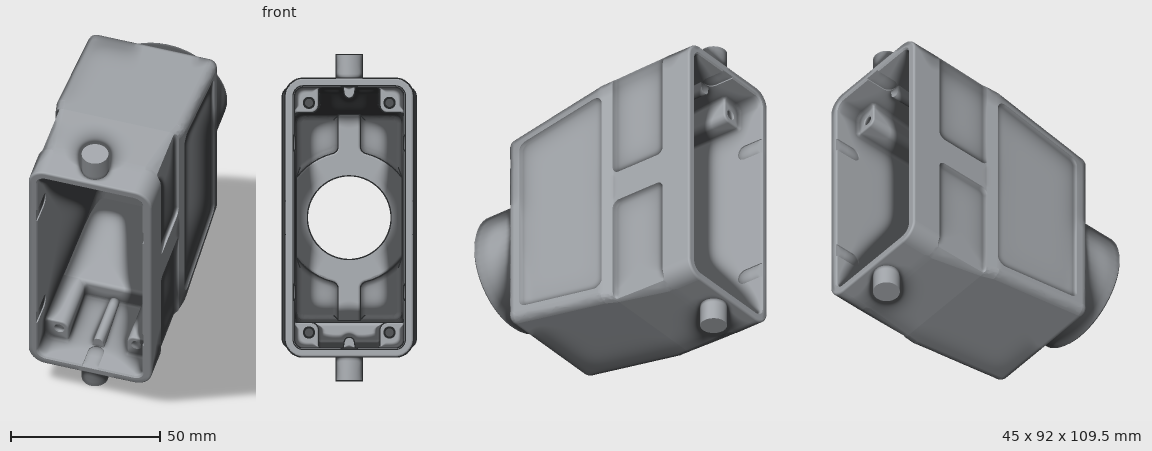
import cadquery as cq
import math


MOUTH_WIDTH = 43.0
BODY_WIDTH = 45.0
MOUTH_HEIGHT = 93.6
WAIST_HEIGHT = 89.2
BACK_HEIGHT = 72.4
BAND_END = 11.2
WAIST = 32.0
SHOULDER = 36.9
BACK = 76.5
OVERALL_LENGTH = 92.0
MOUTH_CORNER = 6.0
BODY_CORNER = 3.0
BEND_RADIUS = 30.0
SHOULDER_RADIUS = 10.0
BACK_FILLET = 2.8
MOUTH_FILLET = 0.75

NECK_DIAMETER = 42.0
NECK_CHAMFER = 0.7
CABLE_HOLE_DIAMETER = 28.0
PEG_DIAMETER = 9.0
PEG_Y = 6.3
PEG_SPAN = 109.5

GRIP_FLOOR_X = 20.0
GRIP_START = 11.3
GRIP_END = 32.4
GRIP_BRIDGE = 11.2
GRIP_CORNER = 2.5
PANEL_DEPTH = 1.0
PANEL_FRONT = 36.4
PANEL_BACK = 71.2
PANEL_FRONT_HEIGHT = 77.6
PANEL_BACK_HEIGHT = 65.0
PANEL_CORNER = 3.0
RECESS_FLOOR_FILLET = 0.95

CAVITY_WIDTH = 36.7
CAVITY_FLOOR_WIDTH = 35.4
CAVITY_MOUTH_HEIGHT = 87.5
CAVITY_WAIST_HEIGHT = 83.2
CAVITY_FLOOR_HEIGHT = 68.0
CAVITY_CORNER = 3.0
CAVITY_FLOOR_CORNER = 2.5
CAVITY_FLOOR = 74.0
CAVITY_BEND_RADIUS = 40.0
CAVITY_CHAMFER = 0.5
PAD_THICKNESS = 3.0
PAD_RADIUS = 22.2
PAD_RIB_WIDTH = 7.4
PAD_RIB_CORNER = 2.5
PAD_EDGE_FILLET = 0.8
POCKET_FILLET = 1.8

BOSS_FRONT = 9.5
BOSS_INNER_X = 10.3
BOSS_INNER_Z = 35.2
BOSS_CORNER = 2.5
BOSS_EDGE_FILLET = 0.6
SCREW_X = 13.5
SCREW_Z = 38.5
SCREW_DIAMETER = 3.1
SCREW_CHAMFER = 0.3
SCREW_DEPTH = 12.0
KEY_FRONT = 10.0
KEY_END = 50.0
KEY_WIDTH = 4.6
KEY_TIP_RADIUS = 1.7
KEY_TIP_Z = 40.1
SHELF_FRONT = 29.5
SHELF_TOP_Z = 35.1
SHELF_EDGE_FILLET = 1.4
FOOT_FILLET = 1.0
SLOT_WIDTH = 5.4
SLOT_LENGTH = 10.0
SLOT_DEPTH = 0.4
SLOT_SIDE_Z = 25.0

WALL_OVERLAP = 1.2
OVERLAP = 2.0
SIDES = (-1, 1)

SHOULDER_FRACTION = (SHOULDER - WAIST) / (BACK - WAIST)
SHOULDER_HEIGHT = WAIST_HEIGHT + (BACK_HEIGHT - WAIST_HEIGHT) * SHOULDER_FRACTION

SIDE_PLANE = cq.Plane((0, 0, 0), (0, 1, 0), (1, 0, 0))
PLAN_PLANE = cq.Plane((0, 0, 0), (0, 1, 0), (0, 0, 1))


def mirrored(solid, side_x, side_z):
    """Solid modelled at +X, +Z moved to the given sides."""
    if side_x < 0:
        solid = solid.mirror("YZ")
    if side_z < 0:
        solid = solid.mirror("XY")
    return solid


def ruled_piece(front, back):
    """Straight-ruled solid between two (y, width, height, corner radius) rounded rectangles."""
    front_y = front[0]
    sketches = []
    for y, width, height, corner in (front, back):
        sketch = cq.Sketch().rect(width, height).vertices().fillet(corner)
        sketches.append(sketch.moved(cq.Location(cq.Vector(0, 0, front_y - y))))
    return cq.Workplane("XZ", origin=(0, front_y, 0)).placeSketch(*sketches).loft(ruled=True)


def ruled_body(sections):
    """Solid through a list of (y, width, height, corner radius) sections."""
    body = ruled_piece(sections[0], sections[1])
    for front, back in zip(sections[1:], sections[2:]):
        body = body.union(ruled_piece(front, back))
    return body


def blended_prism(plane, stations, bend, radius):
    """Prism symmetric about the Y axis, given (y, half size) stations; the bend at one Y is rounded."""
    outline = stations + [(y, -half) for y, half in reversed(stations)]
    prism = cq.Workplane(plane).polyline(outline).close().extrude(OVERALL_LENGTH, both=True)
    bend_edges = [
        edge
        for edge in prism.edges(cq.selectors.ParallelDirSelector(plane.zDir)).vals()
        if math.isclose(edge.Center().y, bend, abs_tol=1e-3)
    ]
    return prism.newObject(bend_edges).fillet(radius)


def outer_shell():
    shell = ruled_body([
        (0, MOUTH_WIDTH, MOUTH_HEIGHT, MOUTH_CORNER),
        (BAND_END, MOUTH_WIDTH, MOUTH_HEIGHT, MOUTH_CORNER),
        (WAIST, MOUTH_WIDTH, WAIST_HEIGHT, BODY_CORNER),
        (SHOULDER, BODY_WIDTH, SHOULDER_HEIGHT, BODY_CORNER),
        (BACK, BODY_WIDTH, BACK_HEIGHT, BODY_CORNER),
    ])
    height_stations = [
        (-OVERLAP, MOUTH_HEIGHT / 2),
        (BAND_END, MOUTH_HEIGHT / 2),
        (WAIST, WAIST_HEIGHT / 2),
        (BACK, BACK_HEIGHT / 2),
    ]
    width_stations = [
        (-OVERLAP, MOUTH_WIDTH / 2),
        (WAIST, MOUTH_WIDTH / 2),
        (SHOULDER, BODY_WIDTH / 2),
        (BACK, BODY_WIDTH / 2),
    ]
    shell = shell.intersect(blended_prism(SIDE_PLANE, height_stations, BAND_END, BEND_RADIUS))
    shell = shell.intersect(blended_prism(PLAN_PLANE, width_stations, SHOULDER, SHOULDER_RADIUS))
    shell = shell.faces(">Y").edges().fillet(BACK_FILLET)
    return shell.faces("<Y").edges().fillet(MOUTH_FILLET)


def neck():
    start = BACK - BACK_FILLET
    barrel = cq.Workplane("XZ", origin=(0, start, 0)).circle(NECK_DIAMETER / 2).extrude(start - OVERALL_LENGTH)
    return barrel.faces(">Y").chamfer(NECK_CHAMFER)


def locking_peg(side):
    """Peg standing out of the top (side 1) or bottom (side -1) wall."""
    root = MOUTH_HEIGHT / 2 - OVERLAP
    peg = cq.Workplane("XY", origin=(0, PEG_Y, side * root)).circle(PEG_DIAMETER / 2)
    return peg.extrude(side * (PEG_SPAN / 2 - root))


def grip_recess(side_x, side_z):
    """Sunken grip area beside the mouth, running out through the rounded corner of the shell."""
    inner_z = GRIP_BRIDGE / 2
    outer_z = MOUTH_HEIGHT / 2 + OVERLAP
    depth = BODY_WIDTH / 2 + OVERLAP - GRIP_FLOOR_X
    recess = cq.Workplane("XY").box(
        depth, GRIP_END - GRIP_START, outer_z - inner_z, centered=(False, False, False)
    )
    recess = recess.translate((GRIP_FLOOR_X, GRIP_START, inner_z))
    recess = recess.edges("|X and <Z").fillet(GRIP_CORNER)
    recess = recess.faces("<X").edges("not >Z").fillet(RECESS_FLOOR_FILLET)
    return mirrored(recess, side_x, side_z)


def side_panel(side_x):
    """Shallow tapered panel sunk into a wide side."""
    floor_x = BODY_WIDTH / 2 - PANEL_DEPTH
    outline = [
        (PANEL_FRONT, -PANEL_FRONT_HEIGHT / 2),
        (PANEL_BACK, -PANEL_BACK_HEIGHT / 2),
        (PANEL_BACK, PANEL_BACK_HEIGHT / 2),
        (PANEL_FRONT, PANEL_FRONT_HEIGHT / 2),
    ]
    panel = cq.Workplane(SIDE_PLANE).workplane(offset=floor_x).polyline(outline).close()
    panel = panel.extrude(PANEL_DEPTH + OVERLAP)
    panel = panel.edges("|X").fillet(PANEL_CORNER)
    panel = panel.faces("<X").edges().fillet(RECESS_FLOOR_FILLET)
    return mirrored(panel, side_x, 1)


def pad():
    """Raised floor around the cable hole: a disc with a rib reaching both end walls."""
    thickness = PAD_THICKNESS + OVERLAP
    plane = cq.Workplane("XZ", origin=(0, CAVITY_FLOOR + OVERLAP, 0))
    disc = plane.circle(PAD_RADIUS).extrude(thickness)
    rib = plane.rect(PAD_RIB_WIDTH, CAVITY_MOUTH_HEIGHT).extrude(thickness)
    joint_z = math.sqrt(PAD_RADIUS**2 - (PAD_RIB_WIDTH / 2) ** 2)
    joints = disc.union(rib).edges("|Y")
    joint_edges = [edge for edge in joints.vals() if abs(abs(edge.Center().z) - joint_z) < 0.01]
    raised = joints.newObject(joint_edges).fillet(PAD_RIB_CORNER)
    return raised.faces("<Y").edges().fillet(PAD_EDGE_FILLET)


def cavity_width(y):
    """Width of the cavity between its drafted side walls at the given Y."""
    return CAVITY_WIDTH - (CAVITY_WIDTH - CAVITY_FLOOR_WIDTH) * y / CAVITY_FLOOR


def cavity():
    """Hollow of the hood, down to the pockets and the pad on its floor."""
    hollow = ruled_body([
        (0, CAVITY_WIDTH, CAVITY_MOUTH_HEIGHT, CAVITY_CORNER),
        (BAND_END, cavity_width(BAND_END), CAVITY_MOUTH_HEIGHT, CAVITY_CORNER),
        (WAIST, cavity_width(WAIST), CAVITY_WAIST_HEIGHT, CAVITY_CORNER),
        (CAVITY_FLOOR, CAVITY_FLOOR_WIDTH, CAVITY_FLOOR_HEIGHT, CAVITY_FLOOR_CORNER),
    ])
    stations = [
        (-OVERLAP, CAVITY_MOUTH_HEIGHT / 2),
        (BAND_END, CAVITY_MOUTH_HEIGHT / 2),
        (WAIST, CAVITY_WAIST_HEIGHT / 2),
        (CAVITY_FLOOR, CAVITY_FLOOR_HEIGHT / 2),
    ]
    hollow = hollow.intersect(blended_prism(SIDE_PLANE, stations, BAND_END, CAVITY_BEND_RADIUS))
    hollow = hollow.cut(pad())
    return hollow.faces(">Y").edges().fillet(POCKET_FILLET)


def screw_boss(side_x, side_z):
    """Square boss filling a corner of the cavity, with a rounded inner corner."""
    length = CAVITY_FLOOR + OVERLAP - BOSS_FRONT
    outer_x = CAVITY_WIDTH / 2 + WALL_OVERLAP
    outer_z = CAVITY_MOUTH_HEIGHT / 2 + WALL_OVERLAP
    boss = cq.Workplane("XY").box(
        outer_x - BOSS_INNER_X, length, outer_z - BOSS_INNER_Z, centered=(False, False, False)
    )
    boss = boss.translate((BOSS_INNER_X, BOSS_FRONT, BOSS_INNER_Z))
    boss = boss.edges("|Y and <X and <Z").fillet(BOSS_CORNER)
    boss = boss.faces("<Y").edges("not (>X or >Z)").fillet(BOSS_EDGE_FILLET)
    return mirrored(boss, side_x, side_z)


def screw_hole(side_x, side_z):
    """Blind screw hole with a small countersink in the front of a boss."""
    radius = SCREW_DIAMETER / 2
    front = cq.Workplane("XZ", origin=(side_x * SCREW_X, BOSS_FRONT, side_z * SCREW_Z))
    hole = front.circle(radius).extrude(-SCREW_DEPTH)
    countersink = front.circle(radius + SCREW_CHAMFER)
    countersink = countersink.workplane(offset=-SCREW_CHAMFER).circle(radius).loft()
    return hole.union(countersink)


def key_rib(side_z):
    """Tapered rib with a round crest, running along the middle of an end wall."""
    crest_z = KEY_TIP_Z + KEY_TIP_RADIUS
    root_z = CAVITY_MOUTH_HEIGHT / 2 + WALL_OVERLAP
    rib = (
        cq.Workplane("XZ", origin=(0, KEY_FRONT, 0))
        .moveTo(-KEY_WIDTH / 2, root_z)
        .lineTo(-KEY_TIP_RADIUS, crest_z)
        .threePointArc((0, KEY_TIP_Z), (KEY_TIP_RADIUS, crest_z))
        .lineTo(KEY_WIDTH / 2, root_z)
        .close()
        .extrude(KEY_FRONT - KEY_END)
    )
    return mirrored(rib, 1, side_z)


def key_flare():
    """Flared root where the lower key rib runs into the shelf."""
    start_y = SHELF_FRONT - FOOT_FILLET
    end_radius = KEY_TIP_RADIUS + FOOT_FILLET
    chord_middle = FOOT_FILLET * (1 - math.sqrt(0.5))
    profile = (
        cq.Workplane(PLAN_PLANE, origin=(0, 0, -KEY_TIP_Z - KEY_TIP_RADIUS))
        .moveTo(start_y, 0)
        .lineTo(start_y, KEY_TIP_RADIUS)
        .threePointArc(
            (SHELF_FRONT - chord_middle, KEY_TIP_RADIUS + chord_middle), (SHELF_FRONT, end_radius)
        )
        .lineTo(SHELF_FRONT + FOOT_FILLET, end_radius)
        .lineTo(SHELF_FRONT + FOOT_FILLET, 0)
        .close()
    )
    return profile.revolve(360, (0, 0, 0), (1, 0, 0))


def shelf():
    """Step that thickens the bottom wall from part way in to the cavity floor."""
    length = CAVITY_FLOOR + OVERLAP - SHELF_FRONT
    bottom_z = CAVITY_MOUTH_HEIGHT / 2 + WALL_OVERLAP
    step = cq.Workplane("XY").box(
        CAVITY_WIDTH + 2 * WALL_OVERLAP, length, bottom_z - SHELF_TOP_Z, centered=(True, False, False)
    )
    step = step.translate((0, SHELF_FRONT, -bottom_z))
    return step.edges("<Y and >Z").fillet(SHELF_EDGE_FILLET)


def inner_root_edges(hollow):
    """Edges where the bosses and the shelf meet the walls of the cavity."""
    roots = []
    for edge in hollow.edges().vals():
        middle = edge.Center()
        along_boss = abs(abs(middle.x) - BOSS_INNER_X) < 0.02 and abs(middle.z) > SCREW_Z
        clear_of_front = middle.y > BAND_END
        below_shelf = abs(middle.x) < 0.1 and abs(middle.y - SHELF_FRONT) < 0.1 and middle.z < -SCREW_Z
        if (along_boss and clear_of_front) or below_shelf:
            roots.append(edge)
    return hollow.newObject(roots)


def furnished_cavity():
    """Cavity with the shelf, bosses and key ribs left standing in it."""
    hollow = cavity().cut(shelf())
    for side_x in SIDES:
        for side_z in SIDES:
            hollow = hollow.cut(screw_boss(side_x, side_z))
    hollow = inner_root_edges(hollow).fillet(FOOT_FILLET)
    for side_z in SIDES:
        hollow = hollow.cut(key_rib(side_z))
    return hollow.cut(key_flare())


def wall_slot(plane):
    """Shallow round-ended groove running in from the mouth; the plane's normal points into the wall."""
    radius = SLOT_WIDTH / 2
    slot = (
        cq.Workplane(plane)
        .moveTo(-radius, -OVERLAP)
        .lineTo(-radius, SLOT_LENGTH - radius)
        .threePointArc((0, SLOT_LENGTH), (radius, SLOT_LENGTH - radius))
        .lineTo(radius, -OVERLAP)
        .close()
    )
    return slot.extrude(SLOT_DEPTH + WALL_OVERLAP)


def wall_slots():
    """One slot in each end wall and two in each wide wall."""
    end_z = CAVITY_MOUTH_HEIGHT / 2 - WALL_OVERLAP
    wide_x = CAVITY_WIDTH / 2 - WALL_OVERLAP
    slots = []
    for side in SIDES:
        slots.append(wall_slot(cq.Plane((0, 0, side * end_z), (side, 0, 0), (0, 0, side))))
        for slot_z in (-SLOT_SIDE_Z, SLOT_SIDE_Z):
            slots.append(wall_slot(cq.Plane((side * wide_x, 0, slot_z), (0, 0, -side), (side, 0, 0))))
    return slots


def hood():
    part = outer_shell().union(neck())
    for side_x in SIDES:
        part = part.cut(side_panel(side_x))
        for side_z in SIDES:
            part = part.cut(grip_recess(side_x, side_z))
    for side_z in SIDES:
        part = part.union(locking_peg(side_z))
    part = part.cut(furnished_cavity())
    rim = part.faces("<Y").val()
    part = part.newObject(rim.innerWires()[0].Edges()).chamfer(CAVITY_CHAMFER)
    for slot in wall_slots():
        part = part.cut(slot)
    for side_x in SIDES:
        for side_z in SIDES:
            part = part.cut(screw_hole(side_x, side_z))
    cable_hole = cq.Workplane("XZ").circle(CABLE_HOLE_DIAMETER / 2).extrude(-OVERALL_LENGTH - OVERLAP)
    return part.cut(cable_hole)


result = hood()